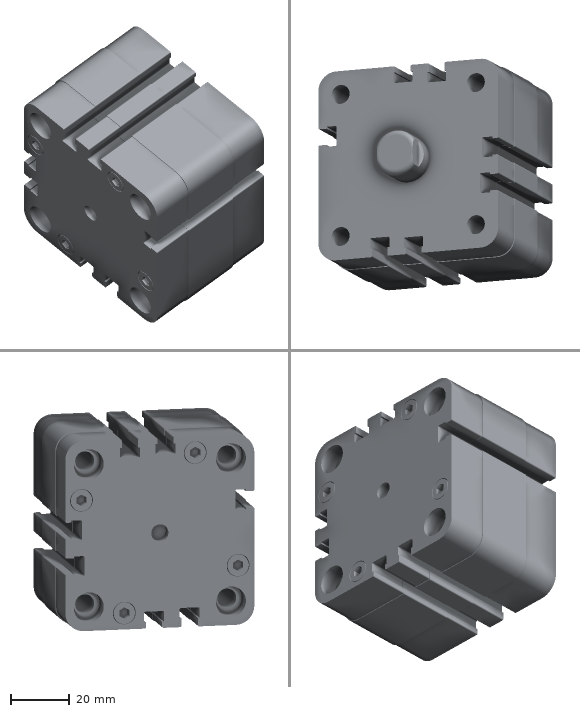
import cadquery as cq


BODY_SIZE = 67.0
CAP_INSET = 0.3
CAP_SIZE = BODY_SIZE - 2 * CAP_INSET
CORNER_RADIUS = 6.55
TOTAL_LENGTH = 63.0
HOUSING_LENGTH = 50.5
CAP_LENGTH = 14.8
BODY_LENGTH = HOUSING_LENGTH - 2 * CAP_LENGTH

SLOT_NECK_WIDTH = 5.5
SLOT_WIDE_WIDTH = 6.85
SLOT_CORNER_RADIUS = 0.5
CAP_SLOT_GROWTH = 0.2
DEEP_SLOT_OFFSET = -10.5
DEEP_SLOT_DEPTH = 6.8
DEEP_SLOT_NECK_DEPTH = 3.3
SHALLOW_SLOT_OFFSET = 2.0
SHALLOW_SLOT_DEPTH = 5.95
SHALLOW_SLOT_NECK_DEPTH = 2.4
SIDES = range(4)
SIDES_WITH_SHALLOW_SLOT = (0, 2, 3)

MOUNT_OFFSET = 25.0
MOUNT_HOLE_DIAMETER = 6.6
MOUNT_BORE_DIAMETER = 10.5
MOUNT_BORE_DEPTH = 6.55

SCREW_NEAR = 12.45
SCREW_FAR = 27.55
SCREW_CENTRES = (
    (SCREW_NEAR, SCREW_FAR),
    (SCREW_FAR, -SCREW_NEAR),
    (-SCREW_NEAR, -SCREW_FAR),
    (-SCREW_FAR, SCREW_NEAR),
)
SCREW_RECESS_DIAMETER = 8.0
SCREW_HEAD_DIAMETER = 7.5
SCREW_RECESS_DEPTH = 4.0
HEX_ACROSS_CORNERS = 4.1
HEX_DEPTH = 3.0

CENTRE_HOLE_DIAMETER = 6.0
CENTRE_HOLE_DEPTH = 4.0

ROD_DIAMETER = 16.0
ROD_LENGTH = TOTAL_LENGTH - HOUSING_LENGTH
ROD_TIP_RADIUS = 1.9
ROD_FLAT_WIDTH = 13.2
ROD_FLAT_LENGTH = 5.4


def plane_at(y):
    """XZ sketch plane at the given Y; negative extrusions run toward +Y."""
    return cq.Workplane("XZ", origin=(0, y, 0))


def turn(solid, quarter_turns):
    """Turn a solid about the Y axis."""
    return solid.rotate((0, 0, 0), (0, 1, 0), 90 * quarter_turns)


def slot_cutter(start, length, face, offset, growth, depth, neck_depth):
    """T-slot opening in the +Z face, with rounded mouth and floor corners."""
    radius = SLOT_CORNER_RADIUS
    neck = (SLOT_NECK_WIDTH + growth) / 2
    wide = (SLOT_WIDE_WIDTH + growth) / 2
    shoulder = BODY_SIZE / 2 - neck_depth
    floor = BODY_SIZE / 2 - depth - growth
    return (
        plane_at(start)
        .center(offset, 0)
        .moveTo(-neck - radius, face)
        .radiusArc((-neck, face - radius), radius)
        .lineTo(-neck, shoulder)
        .lineTo(-wide, shoulder)
        .lineTo(-wide, floor + radius)
        .radiusArc((-wide + radius, floor), -radius)
        .lineTo(wide - radius, floor)
        .radiusArc((wide, floor + radius), -radius)
        .lineTo(wide, shoulder)
        .lineTo(neck, shoulder)
        .lineTo(neck, face - radius)
        .radiusArc((neck + radius, face), radius)
        .close()
        .extrude(-length)
    )


def slotted_block(start, length, size, slot_growth):
    """Rounded square block with its T-slots running along Y."""
    block = plane_at(start).rect(size, size).extrude(-length).edges("|Y").fillet(CORNER_RADIUS)
    deep_slot = slot_cutter(
        start, length, size / 2, DEEP_SLOT_OFFSET, slot_growth, DEEP_SLOT_DEPTH, DEEP_SLOT_NECK_DEPTH
    )
    shallow_slot = slot_cutter(
        start, length, size / 2, SHALLOW_SLOT_OFFSET, slot_growth, SHALLOW_SLOT_DEPTH, SHALLOW_SLOT_NECK_DEPTH
    )
    for side in SIDES:
        block = block.cut(turn(deep_slot, side))
    for side in SIDES_WITH_SHALLOW_SLOT:
        block = block.cut(turn(shallow_slot, side))
    return block


def mounting_holes():
    """Four through holes, each counterbored from the front face."""
    spacing = 2 * MOUNT_OFFSET
    centres = plane_at(0).rect(spacing, spacing, forConstruction=True).vertices()
    holes = centres.circle(MOUNT_HOLE_DIAMETER / 2).extrude(-HOUSING_LENGTH)
    bores = centres.circle(MOUNT_BORE_DIAMETER / 2).extrude(-MOUNT_BORE_DEPTH)
    return holes.union(bores)


def screw_recess(x, z):
    """Ring-shaped gap around a flush screw head, plus its hexagon socket."""
    centre = plane_at(0).center(x, z)
    ring = centre.circle(SCREW_RECESS_DIAMETER / 2).circle(SCREW_HEAD_DIAMETER / 2)
    gap = ring.extrude(-SCREW_RECESS_DEPTH)
    socket = centre.transformed(rotate=(0, 0, 90)).polygon(6, HEX_ACROSS_CORNERS).extrude(-HEX_DEPTH)
    return gap.union(socket)


def piston_rod():
    """Rod with a rounded tip and two wrench flats that run out at 45 degrees."""
    radius = ROD_DIAMETER / 2
    rod = plane_at(HOUSING_LENGTH).circle(radius).extrude(-ROD_LENGTH)
    rod = rod.faces(">Y").edges().fillet(ROD_TIP_RADIUS)
    flat = ROD_FLAT_WIDTH / 2
    flat_start = TOTAL_LENGTH - ROD_FLAT_LENGTH
    flat_cutter = (
        cq.Workplane("XY")
        .moveTo(flat, TOTAL_LENGTH)
        .lineTo(flat, flat_start)
        .lineTo(radius, flat_start - (radius - flat))
        .lineTo(radius, TOTAL_LENGTH)
        .close()
        .extrude(radius, both=True)
    )
    return rod.cut(flat_cutter).cut(turn(flat_cutter, 2))


front_cap = slotted_block(0, CAP_LENGTH, CAP_SIZE, CAP_SLOT_GROWTH)
body = slotted_block(CAP_LENGTH, BODY_LENGTH, BODY_SIZE, 0)
rear_cap = slotted_block(CAP_LENGTH + BODY_LENGTH, CAP_LENGTH, CAP_SIZE, CAP_SLOT_GROWTH)

result = front_cap.union(body).union(rear_cap).union(piston_rod())
result = result.cut(mounting_holes())
for x, z in SCREW_CENTRES:
    result = result.cut(screw_recess(x, z))
result = result.cut(plane_at(0).circle(CENTRE_HOLE_DIAMETER / 2).extrude(-CENTRE_HOLE_DEPTH))